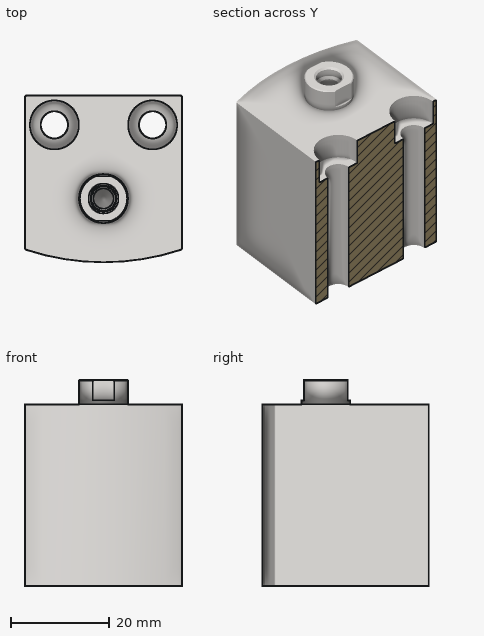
import cadquery as cq
import math


HOUSING_WIDTH = 32.0
HOUSING_DEPTH = 34.0
HOUSING_HEIGHT = 37.0
ROD_TO_BACK = 21.0
CROWN_RADIUS = 50.0
CORNER_RADIUS = 0.4

BACK_Y = ROD_TO_BACK
FRONT_Y = BACK_Y - HOUSING_DEPTH
CROWN_RISE = CROWN_RADIUS - math.sqrt(CROWN_RADIUS**2 - (HOUSING_WIDTH / 2) ** 2)
SIDE_END_Y = FRONT_Y + CROWN_RISE

MOUNT_SPACING = 20.0
MOUNT_TO_BACK = 6.0
MOUNT_DIAMETER = 5.5
COUNTERBORE_DIAMETER = 10.0
COUNTERBORE_DEPTH = 5.8

ROD_DIAMETER = 10.0
ROD_PROJECTION = 5.0
ROD_INSERTION = 15.0
ROD_CHAMFER = 0.2
ROD_LENGTH = ROD_INSERTION + ROD_PROJECTION
ROD_BOTTOM = HOUSING_HEIGHT - ROD_INSERTION
ROD_TOP = HOUSING_HEIGHT + ROD_PROJECTION

FLAT_WIDTH = 9.0
FLAT_LENGTH = 4.2

MOUTH_DIAMETER = 6.1
RELIEF_DIAMETER = 5.3
RELIEF_DEPTH = 2.0
THREAD_DIAMETER = 5.0
CORE_DIAMETER = 4.13
CORE_DEPTH = 12.0
DRILL_POINT_ANGLE = 120.0


def housing_block():
    half_width = HOUSING_WIDTH / 2
    block = (
        cq.Workplane("XY")
        .moveTo(-half_width, BACK_Y)
        .lineTo(-half_width, SIDE_END_Y)
        .threePointArc((0, FRONT_Y), (half_width, SIDE_END_Y))
        .lineTo(half_width, BACK_Y)
        .close()
        .extrude(HOUSING_HEIGHT)
    )
    return block.edges("|Z").fillet(CORNER_RADIUS)


def make_housing():
    mount_y = BACK_Y - MOUNT_TO_BACK
    mount_points = [(side * MOUNT_SPACING / 2, mount_y) for side in (-1, 1)]
    rod_bore = (
        cq.Workplane("XY", origin=(0, 0, ROD_BOTTOM))
        .circle(ROD_DIAMETER / 2)
        .extrude(ROD_INSERTION)
    )
    return (
        housing_block()
        .cut(rod_bore)
        .faces(">Z")
        .workplane(origin=(0, 0, HOUSING_HEIGHT))
        .pushPoints(mount_points)
        .cboreHole(MOUNT_DIAMETER, COUNTERBORE_DIAMETER, COUNTERBORE_DEPTH)
    )


def thread_hole():
    """Solid of revolution that fills the stepped hole in the rod end."""
    mouth_radius = MOUTH_DIAMETER / 2
    relief_radius = RELIEF_DIAMETER / 2
    thread_radius = THREAD_DIAMETER / 2
    core_radius = CORE_DIAMETER / 2
    relief_bottom = ROD_TOP - RELIEF_DEPTH
    core_bottom = ROD_TOP - CORE_DEPTH
    drill_point_height = core_radius / math.tan(math.radians(DRILL_POINT_ANGLE / 2))
    mouth_depth = mouth_radius - relief_radius
    lead_in_depth = thread_radius - core_radius
    return (
        cq.Workplane("XZ")
        .moveTo(0, ROD_TOP)
        .lineTo(mouth_radius, ROD_TOP)
        .lineTo(relief_radius, ROD_TOP - mouth_depth)
        .lineTo(relief_radius, relief_bottom)
        .lineTo(thread_radius, relief_bottom)
        .lineTo(core_radius, relief_bottom - lead_in_depth)
        .lineTo(core_radius, core_bottom)
        .lineTo(0, core_bottom - drill_point_height)
        .close()
        .revolve(360, (0, 0), (0, 1))
    )


def wrench_flat_cutters():
    """Two blocks that leave the rod end FLAT_WIDTH thick along Y."""
    cutter_depth = ROD_DIAMETER / 2
    cutter_y = (FLAT_WIDTH + cutter_depth) / 2
    return (
        cq.Workplane("XY", origin=(0, 0, ROD_TOP - FLAT_LENGTH))
        .pushPoints([(0, -cutter_y), (0, cutter_y)])
        .rect(ROD_DIAMETER, cutter_depth)
        .extrude(FLAT_LENGTH)
    )


def make_rod():
    return (
        cq.Workplane("XY", origin=(0, 0, ROD_BOTTOM))
        .circle(ROD_DIAMETER / 2)
        .extrude(ROD_LENGTH)
        .faces(">Z")
        .chamfer(ROD_CHAMFER)
        .cut(wrench_flat_cutters())
        .cut(thread_hole())
    )


housing = make_housing()
rod = make_rod()

result = cq.Compound.makeCompound([housing.val(), rod.val()])